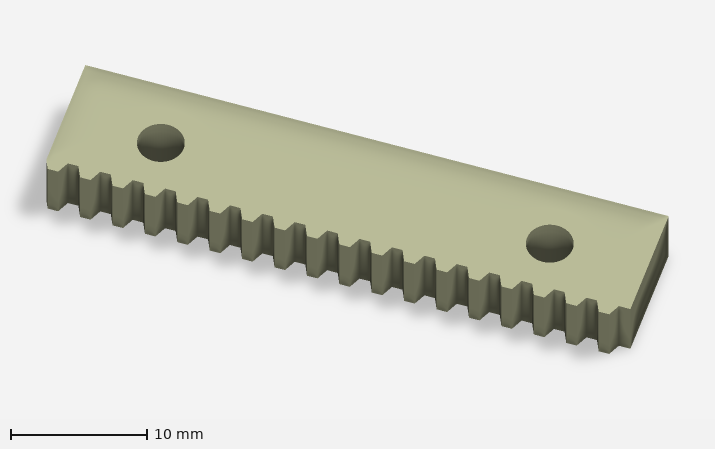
import cadquery as cq

length = 45.0
width = 10.0
height = 4.75

tooth_count = 18
tooth_pitch = length / tooth_count
tooth_depth = 0.95
tip_width = 0.8
root_width = 0.8
flank_run = (tooth_pitch - tip_width - root_width) / 2
first_tooth_x = 0.75

hole_diameter = 3.5
hole_spacing = 12 * tooth_pitch
hole_from_back = 5.15


def make_body():
    """Plain bar behind the teeth, resting on the root line."""
    return cq.Workplane("XY").box(length, width - tooth_depth, height, centered=False).translate(
        (0, tooth_depth, 0)
    )


def make_tooth(center_x):
    """One trapezoidal tooth as tall as the bar."""
    half_tip = tip_width / 2
    half_base = half_tip + flank_run
    base_start = max(center_x - half_base, 0)
    trim = base_start - (center_x - half_base)
    trim_y = tooth_depth * (1 - trim / flank_run)
    outline = [
        (base_start, trim_y),
        (center_x - half_tip, 0),
        (center_x + half_tip, 0),
        (center_x + half_base, tooth_depth),
    ]
    if trim > 0:
        outline.append((base_start, tooth_depth))
    return cq.Workplane("XY").polyline(outline).close().extrude(height)


def make_holes():
    """Two through holes for mounting screws."""
    hole_y = width - hole_from_back
    centers = [((length - hole_spacing) / 2, hole_y), ((length + hole_spacing) / 2, hole_y)]
    return cq.Workplane("XY").pushPoints(centers).circle(hole_diameter / 2).extrude(height)


rack = make_body()
for index in range(tooth_count):
    rack = rack.union(make_tooth(first_tooth_x + index * tooth_pitch))

result = rack.cut(make_holes())